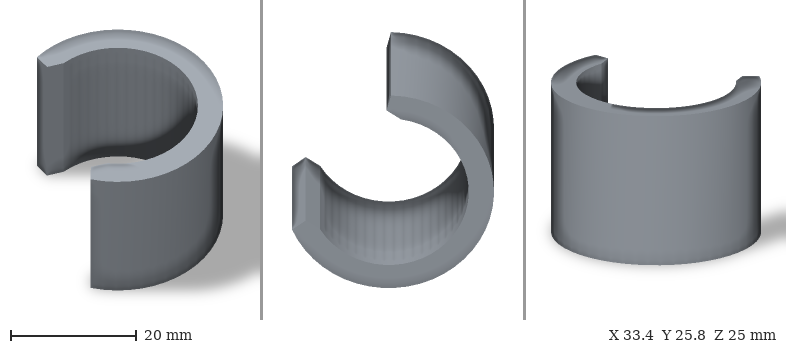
import cadquery as cq
import math

outer_radius = 16.72
wall = 4.0
height = 25.0
mouth_half_width = 11.5
tip_y = -9.05
lip_rise = 0.9

inner_radius = outer_radius - wall
tip_x = math.sqrt(outer_radius**2 - tip_y**2)
lip_inner_y = tip_y + lip_rise
bore_end_y = -math.sqrt(inner_radius**2 - mouth_half_width**2)

profile = (
    cq.Workplane("XY")
    .moveTo(tip_x, tip_y)
    .threePointArc((0, outer_radius), (-tip_x, tip_y))
    .lineTo(-mouth_half_width, lip_inner_y)
    .lineTo(-mouth_half_width, bore_end_y)
    .threePointArc((0, inner_radius), (mouth_half_width, bore_end_y))
    .lineTo(mouth_half_width, lip_inner_y)
    .close()
)

result = profile.extrude(height)